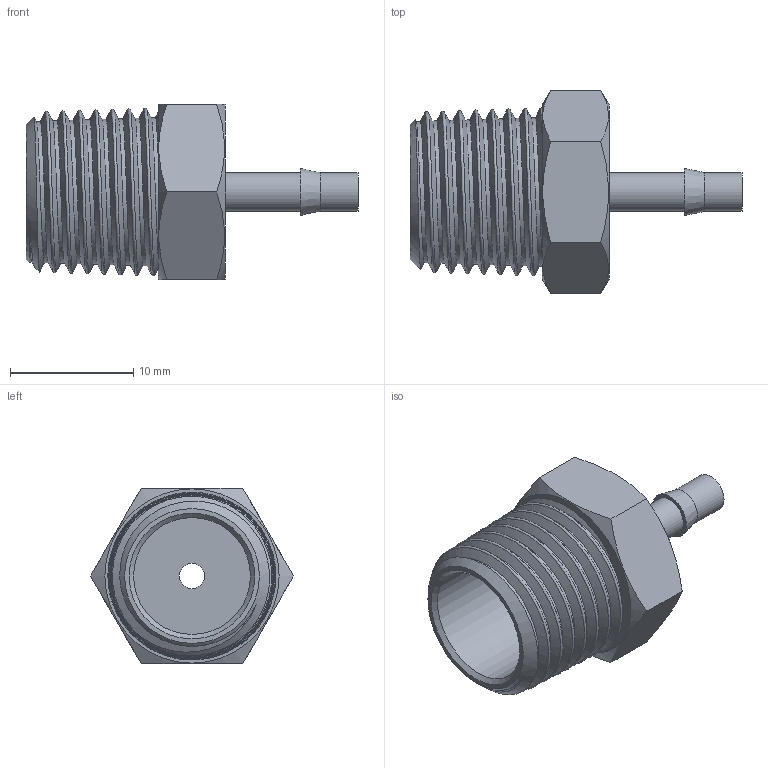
import cadquery as cq
import math


total_length = 26.99
thread_length = 10.76
hex_length = 5.42
stem_start = thread_length + hex_length

thread_pitch = 25.4 / 19
taper_slope = 1 / 32
taper_angle = math.degrees(math.atan(taper_slope))
crest_radius_at_mouth = 6.5
thread_depth = 0.79
flank_angle = math.radians(27.5)
crest_width = 0.25
crest_rounding = 0.07
ridge_embed = 0.1
core_overrun = 3 * thread_pitch

mouth_outer_radius = 5.48
end_chamfer_length = 1.1
end_chamfer_slope = 0.96
bore_radius = 4.75
bore_chamfer = 0.36
bore_depth = thread_length

hex_across_flats = 14.29
hex_across_corners = hex_across_flats / math.cos(math.radians(30))
hex_face_radius = 7.08
hex_chamfer_angle = math.radians(30)

stem_radius = 1.575
barb_radius = 1.92
barb_start = total_length - 4.68
barb_end = total_length - 3.06
hole_diameter = 2.05


def revolve_about_x(points):
    """Full turn about the X axis of a closed outline of (x, radius) points."""
    outline = cq.Workplane("XY").polyline(points).close()
    return outline.revolve(360, (0, 0, 0), (1, 0, 0))


def make_thread_ridge():
    """Right-hand conical ridge that starts before the mouth and ends inside the hexagon."""
    start = -thread_pitch
    length = thread_length + 2 * thread_pitch
    crest = crest_radius_at_mouth + taper_slope * start
    base = crest - thread_depth - ridge_embed
    shoulder = crest - crest_rounding
    half_crest = crest_width / 2
    half_base = half_crest + (shoulder - base) * math.tan(flank_angle)
    profile = (
        cq.Workplane("XZ")
        .moveTo(base, start - half_base)
        .lineTo(shoulder, start - half_crest)
        .threePointArc((crest, start), (shoulder, start + half_crest))
        .lineTo(base, start + half_base)
        .close()
    )
    helix = cq.Wire.makeHelix(thread_pitch, length, base, cq.Vector(0, 0, start), angle=taper_angle)
    ridge = profile.sweep(cq.Workplane(helix), isFrenet=True).val()
    along_x = cq.Plane(origin=(0, 0, 0), xDir=(0, 1, 0), normal=(1, 0, 0))
    return cq.Workplane(ridge.moved(cq.Location(along_x)))


def make_thread():
    """Tapered core plus ridge, both made overlong and trimmed to length and to the end chamfer."""
    core_at_mouth = crest_radius_at_mouth - thread_depth
    core_start = -core_overrun
    core_end = thread_length + core_overrun
    core = revolve_about_x([
        (core_start, 0),
        (core_start, core_at_mouth + taper_slope * core_start),
        (core_end, core_at_mouth + taper_slope * core_end),
        (core_end, 0),
    ])
    chamfer_top = mouth_outer_radius + end_chamfer_slope * end_chamfer_length
    outer_limit = hex_across_flats / 2
    envelope = revolve_about_x([
        (0, 0),
        (0, mouth_outer_radius),
        (end_chamfer_length, chamfer_top),
        (end_chamfer_length, outer_limit),
        (thread_length, outer_limit),
        (thread_length, 0),
    ])
    return core.union(make_thread_ridge()).intersect(envelope)


def make_hexagon():
    """Hexagon with flats on +Z and -Z and both ends chamfered by cones."""
    prism = (
        cq.Workplane("YZ")
        .workplane(offset=thread_length)
        .polygon(6, hex_across_corners)
        .extrude(hex_length)
    )
    cone_radius = hex_across_corners
    cone_drop = (cone_radius - hex_face_radius) * math.tan(hex_chamfer_angle)
    cones = revolve_about_x([
        (thread_length, 0),
        (thread_length, hex_face_radius),
        (thread_length + cone_drop, cone_radius),
        (stem_start - cone_drop, cone_radius),
        (stem_start, hex_face_radius),
        (stem_start, 0),
    ])
    return prism.intersect(cones)


def make_stem():
    """Round stem with one barb whose sharp step faces the hexagon."""
    return revolve_about_x([
        (stem_start, 0),
        (stem_start, stem_radius),
        (barb_start, stem_radius),
        (barb_start, barb_radius),
        (barb_end, stem_radius),
        (total_length, stem_radius),
        (total_length, 0),
    ])


def make_passage():
    """Wide bore with a chamfered mouth, and the narrow hole through the stem."""
    bore = revolve_about_x([
        (0, 0),
        (0, bore_radius + bore_chamfer),
        (bore_chamfer, bore_radius),
        (bore_depth, bore_radius),
        (bore_depth, 0),
    ])
    hole = cq.Workplane("YZ").circle(hole_diameter / 2).extrude(total_length)
    return bore.union(hole)


result = make_thread().union(make_hexagon()).union(make_stem()).cut(make_passage())